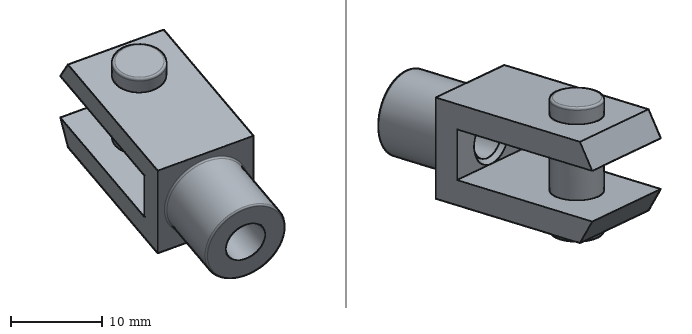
import cadquery as cq
import math

fork_width = 12.0
slot_width = 6.0
fork_length = 22.0
slot_depth = 19.0
tip_to_pin = 7.0
tip_bevel_angle = 30.0

shank_diameter = 10.0
shank_length = 9.0
shank_end_fillet = 0.2
shank_root_fillet = 0.2

bore_diameter = 4.917
bore_mouth_diameter = 6.0

pin_diameter = 6.0
pin_length = 16.0
pin_end_fillet = 0.3

half_width = fork_width / 2
half_slot = slot_width / 2
prong_thickness = half_width - half_slot
bevel_run = prong_thickness * math.tan(math.radians(tip_bevel_angle))

tip_x = -tip_to_pin
slot_floor_x = tip_x + slot_depth
shoulder_x = tip_x + fork_length
end_x = shoulder_x + shank_length


def make_fork():
    """U-shaped profile with outward-bevelled prong tips, extruded across Y."""
    profile = [
        (tip_x, half_slot),
        (tip_x + bevel_run, half_width),
        (shoulder_x, half_width),
        (shoulder_x, -half_width),
        (tip_x + bevel_run, -half_width),
        (tip_x, -half_slot),
        (slot_floor_x, -half_slot),
        (slot_floor_x, half_slot),
    ]
    return cq.Workplane("XZ").polyline(profile).close().extrude(half_width, both=True)


def make_shank():
    """Half profile revolved about X: rounded free end and concave fillet at the shoulder."""
    radius = shank_diameter / 2
    root = shank_root_fillet
    end = shank_end_fillet
    diagonal = math.sqrt(0.5)
    root_mid = (shoulder_x + root * (1 - diagonal), radius + root * (1 - diagonal))
    end_mid = (end_x - end * (1 - diagonal), radius - end * (1 - diagonal))
    half_profile = (
        cq.Workplane("XY")
        .moveTo(slot_floor_x, 0)
        .lineTo(slot_floor_x, radius)
        .lineTo(shoulder_x, radius)
        .lineTo(shoulder_x, radius + root)
        .threePointArc(root_mid, (shoulder_x + root, radius))
        .lineTo(end_x - end, radius)
        .threePointArc(end_mid, (end_x, radius - end))
        .lineTo(end_x, 0)
        .close()
    )
    return half_profile.revolve(360, (0, 0, 0), (1, 0, 0))


def make_bore():
    """Through bore with a 45 degree countersink at the slot floor."""
    radius = bore_diameter / 2
    mouth = bore_mouth_diameter / 2
    half_profile = [
        (slot_floor_x, 0),
        (slot_floor_x, mouth),
        (slot_floor_x + mouth - radius, radius),
        (end_x, radius),
        (end_x, 0),
    ]
    return cq.Workplane("XY").polyline(half_profile).close().revolve(360, (0, 0, 0), (1, 0, 0))


def make_pin():
    """Pin across both prongs, rounded at both ends."""
    pin = cq.Workplane("XY").circle(pin_diameter / 2).extrude(pin_length / 2, both=True)
    return pin.faces("|Z").edges().fillet(pin_end_fillet)


result = make_fork().union(make_shank()).cut(make_bore()).union(make_pin())